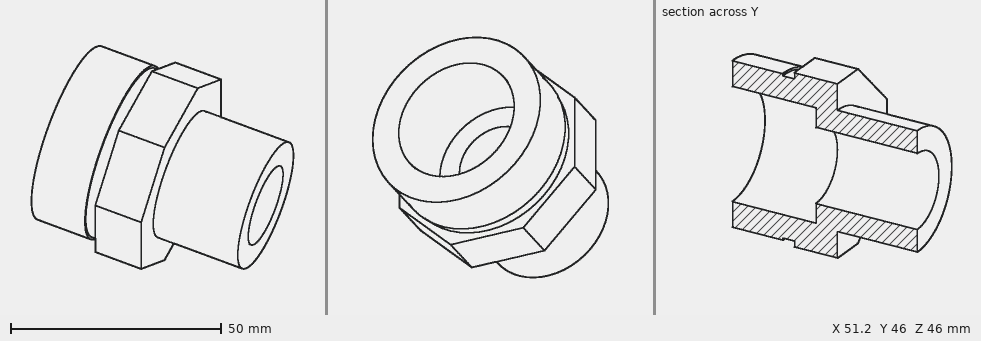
import cadquery as cq

total_length = 51.2
collar_length = 14.0
neck_length = 3.2
octagon_length = 12.0
octagon_start = collar_length + neck_length
spigot_start = octagon_start + octagon_length
spigot_length = total_length - spigot_start

collar_diameter = 44.05
neck_diameter = 42.9
octagon_across_flats = 46.0
octagon_sides = 8
spigot_diameter = 32.1

socket_diameter = 30.3
socket_depth = octagon_start + octagon_length / 2
through_diameter = 20.0


def cylinder(start, length, diameter):
    """Cylinder on the X axis, extending toward +X from start."""
    return cq.Workplane("YZ", origin=(start, 0, 0)).circle(diameter / 2).extrude(length)


def octagon():
    """Regular octagonal wrench section with flats facing Y and Z."""
    return (
        cq.Workplane("YZ", origin=(octagon_start, 0, 0))
        .polygon(octagon_sides, octagon_across_flats, circumscribed=True)
        .extrude(octagon_length)
    )


collar = cylinder(0, collar_length, collar_diameter)
neck = cylinder(collar_length, neck_length, neck_diameter)
spigot = cylinder(spigot_start, spigot_length, spigot_diameter)
body = collar.union(neck).union(octagon()).union(spigot)

socket = cylinder(0, socket_depth, socket_diameter)
through_bore = cylinder(0, total_length, through_diameter)
result = body.cut(socket).cut(through_bore)